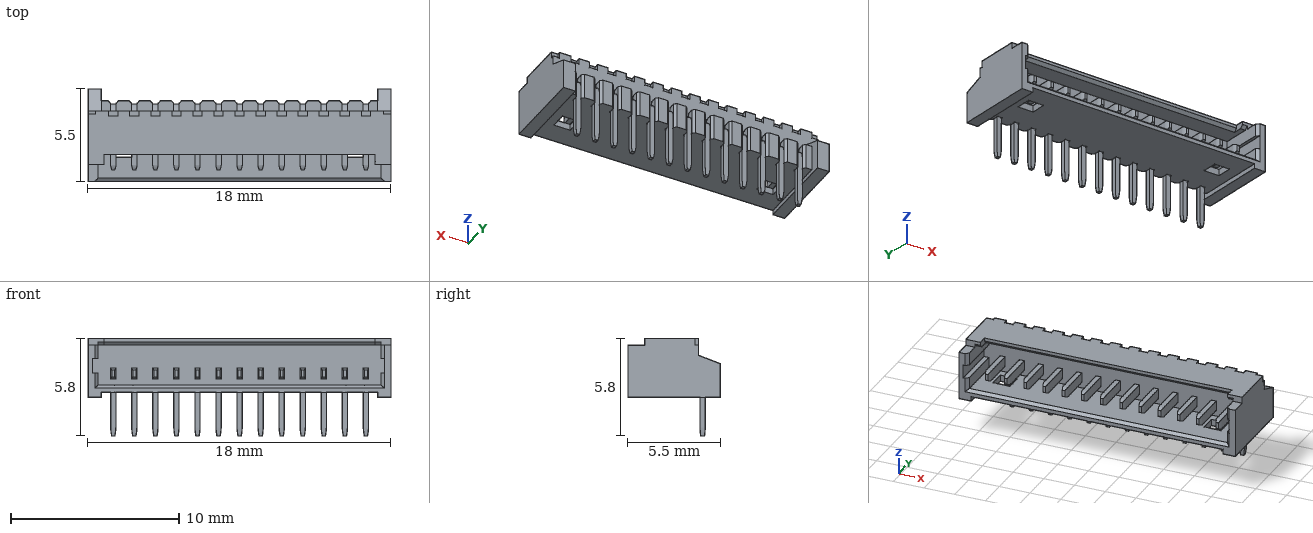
import cadquery as cq
LENGTH = 18.0
DEPTH = 5.5
HEIGHT = 3.5
HALF_LENGTH = LENGTH / 2

REAR_WALL_Y = 4.2
EAR_WIDTH = 0.8
EAR_REAR_HEIGHT = 2.0
EAR_FRONT_HEIGHT = 2.5
STANDOFF = 0.3

END_WALL = 0.6
FLOOR_TOP = 0.72
CEILING = 3.1
CAVITY_BACK_Y = 3.0
MOUTH_SIDE_BEVEL = 0.2
MOUTH_FLOOR_BEVEL = 0.17
MOUTH_BEVEL_DEPTH = 0.2
END_STEP_DEPTH = 1.0
TOP_EDGE_Y = 1.6
TOP_TAB_WIDTH = 0.95
TOP_BEVEL_HEIGHT = 0.2
TOP_BEVEL_DEPTH = 0.2

GROOVE_BOTTOM = 1.45
GROOVE_TOP = 2.3
LEFT_GROOVE_WALL = 0.28
RIGHT_GROOVE_WALL = 0.4

TOP_NOTCH_WIDTH = 0.55
TOP_NOTCH_DEPTH = 0.3
CORNER_NOTCH_WIDTH = 0.45
CORNER_NOTCH_DEPTH = 0.2
NOTCH_HEIGHT = 0.4

PIN_COUNT = 13
PIN_PITCH = 1.25
PIN_WIDTH = 0.325
BLADE_BOTTOM = 1.1
BLADE_TOP = 1.73
BLADE_TIP_Y = 0.7
BLADE_TAPER = 0.28
BLADE_TIP_WIDTH = 0.17
BLADE_TIP_HEIGHT = 0.4
LEG_FRONT_Y = 4.28
LEG_REAR_Y = LEG_FRONT_Y + PIN_WIDTH
LEG_BOTTOM = -2.3
LEG_TAPER = 0.5
LEG_TIP_WIDTH = 0.2
BEND_RADIUS = 0.55
LEG_TIP_DEPTH = 0.24
TIP_BULGE_SHARE = 0.35
PIN_XS = [(i - (PIN_COUNT - 1) / 2) * PIN_PITCH for i in range(PIN_COUNT)]

TEETH_REAR_Y = 4.8
TEETH_TOP = 2.0
SLOT_MOUTH_WIDTH = 0.62
SLOT_BEVEL = SLOT_MOUTH_WIDTH / 2 - PIN_WIDTH / 2

WINDOW_FRONT_Y = 1.45
WINDOW_REAR_Y = 2.5
WINDOW_WIDTH = 1.1


def box(x0, x1, y0, y1, z0, z1):
    return cq.Workplane("XY").box(x1 - x0, y1 - y0, z1 - z0, centered=False).translate((x0, y0, z0))


def extrude_profile(yz_points, x0, x1):
    """Extrude an outline in the YZ plane from x0 to x1."""
    return cq.Workplane("YZ").polyline(yz_points).close().extrude(x1 - x0).translate((x0, 0, 0))


def housing_block():
    side_profile = [
        (0, 0),
        (DEPTH, 0),
        (DEPTH, EAR_REAR_HEIGHT),
        (REAR_WALL_Y, EAR_FRONT_HEIGHT),
        (REAR_WALL_Y, HEIGHT),
        (END_STEP_DEPTH, HEIGHT),
        (END_STEP_DEPTH, CEILING),
        (0, CEILING),
    ]
    inner = HALF_LENGTH - EAR_WIDTH
    block = extrude_profile(side_profile, -HALF_LENGTH, HALF_LENGTH)
    block = block.cut(box(-inner, inner, 0, DEPTH, 0, STANDOFF))
    block = block.cut(box(-inner, inner, TEETH_REAR_Y, DEPTH, 0, HEIGHT))
    return block.cut(box(-inner, inner, REAR_WALL_Y, DEPTH, TEETH_TOP, HEIGHT))


def cavity():
    half = HALF_LENGTH - END_WALL
    tab_half = HALF_LENGTH - TOP_TAB_WIDTH
    room = box(-half, half, 0, CAVITY_BACK_Y, FLOOR_TOP, CEILING)
    room = room.union(box(-tab_half, tab_half, 0, TOP_EDGE_Y, FLOOR_TOP, HEIGHT))
    left = -HALF_LENGTH + LEFT_GROOVE_WALL
    right = HALF_LENGTH - RIGHT_GROOVE_WALL
    return room.union(box(left, right, 0, CAVITY_BACK_Y, GROOVE_BOTTOM, GROOVE_TOP))


def mouth_bevel():
    """Flare of the front opening at the floor and the two end walls."""
    half = HALF_LENGTH - END_WALL
    outer = half + MOUTH_SIDE_BEVEL
    return (
        cq.Workplane("XZ")
        .polyline([
            (-outer, FLOOR_TOP - MOUTH_FLOOR_BEVEL),
            (outer, FLOOR_TOP - MOUTH_FLOOR_BEVEL),
            (outer, CEILING),
            (-outer, CEILING),
        ])
        .close()
        .workplane(offset=-MOUTH_BEVEL_DEPTH)
        .polyline([(-half, FLOOR_TOP), (half, FLOOR_TOP), (half, CEILING), (-half, CEILING)])
        .close()
        .loft(ruled=True)
    )


def top_bevel(front_y, half_width):
    """Lead-in under the front edge of the top."""
    profile = [
        (front_y, CEILING),
        (front_y + TOP_BEVEL_DEPTH, CEILING),
        (front_y, CEILING + TOP_BEVEL_HEIGHT),
    ]
    return extrude_profile(profile, -half_width, half_width)


def cut_rear_notches(body):
    bottom = HEIGHT - NOTCH_HEIGHT
    for x in PIN_XS:
        half = TOP_NOTCH_WIDTH / 2
        notch_y = REAR_WALL_Y - TOP_NOTCH_DEPTH
        body = body.cut(box(x - half, x + half, notch_y, REAR_WALL_Y, bottom, HEIGHT))
    corner_x = HALF_LENGTH - CORNER_NOTCH_WIDTH
    corner_y = REAR_WALL_Y - CORNER_NOTCH_DEPTH
    body = body.cut(box(-HALF_LENGTH, -corner_x, corner_y, REAR_WALL_Y, bottom, HEIGHT))
    return body.cut(box(corner_x, HALF_LENGTH, corner_y, REAR_WALL_Y, bottom, HEIGHT))


def leg_slot(x):
    """Slot between two teeth, flared at its rear mouth."""
    half = PIN_WIDTH / 2
    mouth = SLOT_MOUTH_WIDTH / 2
    return (
        cq.Workplane("XY")
        .polyline([
            (x - half, REAR_WALL_Y),
            (x + half, REAR_WALL_Y),
            (x + half, TEETH_REAR_Y - SLOT_BEVEL),
            (x + mouth, TEETH_REAR_Y),
            (x - mouth, TEETH_REAR_Y),
            (x - half, TEETH_REAR_Y - SLOT_BEVEL),
        ])
        .close()
        .extrude(TEETH_TOP)
    )


def cut_floor_windows(body):
    window_x = (abs(PIN_XS[0]) + abs(PIN_XS[1])) / 2
    half = WINDOW_WIDTH / 2
    for x in (-window_x, window_x):
        body = body.cut(box(x - half, x + half, WINDOW_FRONT_Y, WINDOW_REAR_Y, 0, FLOOR_TOP))
    return body


def barrel_outline(plane, width, tip_width, length):
    """Outline that narrows downward from the origin with convex sides."""
    half = width / 2
    tip_half = tip_width / 2
    mid_half = half - (half - tip_half) * TIP_BULGE_SHARE
    return (
        cq.Workplane(plane)
        .moveTo(-half, 0)
        .lineTo(half, 0)
        .threePointArc((mid_half, -length / 2), (tip_half, -length))
        .lineTo(-tip_half, -length)
        .threePointArc((-mid_half, -length / 2), (-half, 0))
        .close()
    )


def barrel_tip(width, depth, tip_width, tip_depth, length):
    """Pin tip pointing down from the origin, narrowing along both X and Y."""
    front = barrel_outline("XZ", width, tip_width, length).extrude(depth / 2, both=True)
    side = barrel_outline("YZ", depth, tip_depth, length).extrude(width / 2, both=True)
    return front.intersect(side)


def pin(x):
    """Right-angle pin: a horizontal mating blade and a vertical solder leg."""
    half = PIN_WIDTH / 2
    blade_height = BLADE_TOP - BLADE_BOTTOM
    blade_z = (BLADE_TOP + BLADE_BOTTOM) / 2
    leg_y = (LEG_FRONT_Y + LEG_REAR_Y) / 2
    taper_y = BLADE_TIP_Y + BLADE_TAPER
    taper_z = LEG_BOTTOM + LEG_TAPER

    blade = box(x - half, x + half, taper_y, LEG_REAR_Y, BLADE_BOTTOM, BLADE_TOP)
    blade = blade.edges("|X and >Y and >Z").fillet(BEND_RADIUS)
    blade_tip = barrel_tip(PIN_WIDTH, blade_height, BLADE_TIP_WIDTH, BLADE_TIP_HEIGHT, BLADE_TAPER)
    blade_tip = blade_tip.rotate((0, 0, 0), (1, 0, 0), -90).translate((x, taper_y, blade_z))
    leg = box(x - half, x + half, LEG_FRONT_Y, LEG_REAR_Y, taper_z, BLADE_BOTTOM)
    leg_tip = barrel_tip(PIN_WIDTH, PIN_WIDTH, LEG_TIP_WIDTH, LEG_TIP_DEPTH, LEG_TAPER)
    leg_tip = leg_tip.translate((x, leg_y, taper_z))
    return blade.union(blade_tip).union(leg).union(leg_tip)


housing = housing_block().cut(cavity()).cut(mouth_bevel())
housing = housing.cut(top_bevel(END_STEP_DEPTH, HALF_LENGTH - END_WALL))
housing = housing.cut(top_bevel(TOP_EDGE_Y, HALF_LENGTH - TOP_TAB_WIDTH))
housing = cut_floor_windows(cut_rear_notches(housing))
for pin_x in PIN_XS:
    housing = housing.cut(leg_slot(pin_x))

result = housing
for pin_x in PIN_XS:
    result = result.union(pin(pin_x))